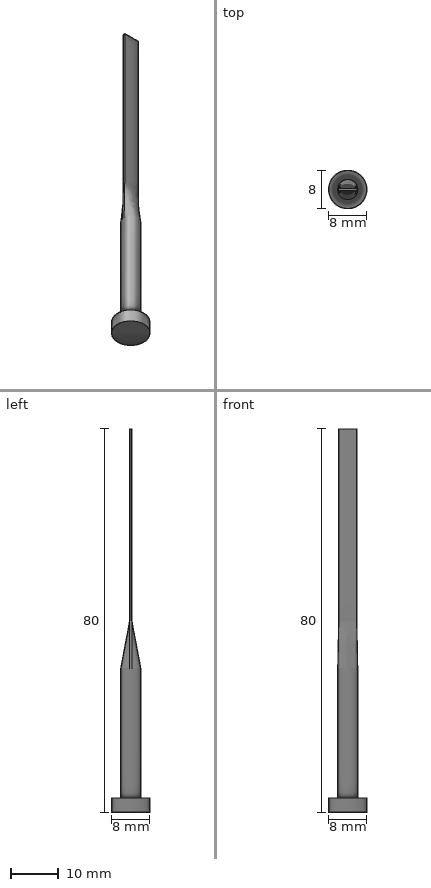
import cadquery as cq
import math

TOTAL_LENGTH = 80.0
HEAD_HEIGHT = 3.0
TAPER_START = 30.0
BLADE_LENGTH = 40.0
BLADE_START = TOTAL_LENGTH - BLADE_LENGTH

HEAD_DIAMETER = 8.0
SHANK_DIAMETER = 4.2
BLADE_WIDTH = 3.8
BLADE_THICKNESS = 0.5


def cylinder(diameter, bottom, top):
    """Round section on the Z axis between two heights."""
    return cq.Workplane("XY").workplane(offset=bottom).circle(diameter / 2).extrude(top - bottom)


def shank_end_wire():
    """Shank circle split into four arcs, with joints in line with the blade's broad faces."""
    radius = SHANK_DIAMETER / 2
    joint_y = BLADE_THICKNESS / 2
    joint_x = math.sqrt(radius**2 - joint_y**2)
    return (
        cq.Workplane("XY")
        .workplane(offset=TAPER_START)
        .moveTo(-joint_x, -joint_y)
        .threePointArc((0, -radius), (joint_x, -joint_y))
        .threePointArc((radius, 0), (joint_x, joint_y))
        .threePointArc((0, radius), (-joint_x, joint_y))
        .threePointArc((-radius, 0), (-joint_x, -joint_y))
        .close()
        .val()
    )


def blade_end_wire():
    """Blade rectangle, started at the same corner as the shank circle."""
    half_width = BLADE_WIDTH / 2
    half_thickness = BLADE_THICKNESS / 2
    return (
        cq.Workplane("XY")
        .workplane(offset=BLADE_START)
        .moveTo(-half_width, -half_thickness)
        .lineTo(half_width, -half_thickness)
        .lineTo(half_width, half_thickness)
        .lineTo(-half_width, half_thickness)
        .close()
        .val()
    )


def taper():
    """Straight blend from the round shank to the flat blade."""
    return cq.Workplane(cq.Solid.makeLoft([shank_end_wire(), blade_end_wire()], True))


def blade():
    """Flat blade up to the tip."""
    return (
        cq.Workplane("XY")
        .workplane(offset=BLADE_START)
        .rect(BLADE_WIDTH, BLADE_THICKNESS)
        .extrude(BLADE_LENGTH)
    )


head = cylinder(HEAD_DIAMETER, 0, HEAD_HEIGHT)
shank = cylinder(SHANK_DIAMETER, HEAD_HEIGHT, TAPER_START)

result = head.union(shank).union(taper()).union(blade())